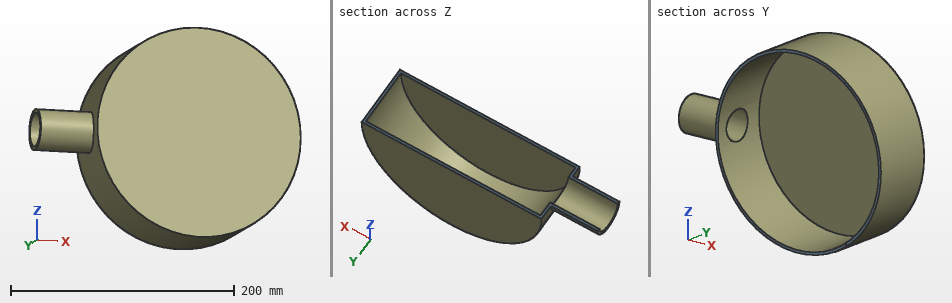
import cadquery as cq

overall_length = 239.5
drum_diameter = 190.5
drum_depth = 64.7
wall_thickness = 3.0
pipe_outer_diameter = 37.0
pipe_bore_diameter = 30.5
pipe_offset_y = -2.2

drum_radius = drum_diameter / 2
pipe_end_x = drum_radius - overall_length


def drum_cylinder(radius, depth):
    """Cylinder along Y, centred on the origin."""
    return cq.Workplane("XZ").circle(radius).extrude(depth / 2, both=True)


def pipe_cylinder(diameter):
    """Cylinder along X from the free pipe end to the drum axis."""
    return (
        cq.Workplane("YZ", origin=(pipe_end_x, pipe_offset_y, 0))
        .circle(diameter / 2)
        .extrude(-pipe_end_x)
    )


outer_body = drum_cylinder(drum_radius, drum_depth).union(pipe_cylinder(pipe_outer_diameter))

cavity = drum_cylinder(drum_radius - wall_thickness, drum_depth - 2 * wall_thickness)
bore = pipe_cylinder(pipe_bore_diameter)

result = outer_body.cut(cavity).cut(bore)